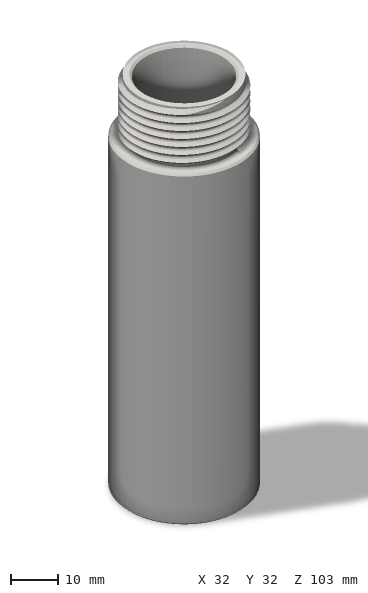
import cadquery as cq
import math

total_height = 103.0
body_diameter = 32.0
neck_diameter = 26.0
bore_diameter = 22.0
neck_height = 15.0
body_height = total_height - neck_height

floor_thickness = (body_diameter - bore_diameter) / 2

body_chamfer = 0.46
bore_chamfer = 0.5

thread_turns = 6.95
thread_height = 13.9
thread_pitch = thread_height / thread_turns
thread_depth = 1.0
thread_base_width = 1.8
root_overlap = 0.2

runout_angle = 55.0


def make_body():
    body = cq.Workplane("XY").circle(body_diameter / 2).extrude(body_height)
    return body.edges().chamfer(body_chamfer)


def make_neck():
    return (
        cq.Workplane("XY")
        .workplane(offset=floor_thickness)
        .circle(neck_diameter / 2)
        .extrude(total_height - floor_thickness)
    )


def make_thread():
    root_radius = neck_diameter / 2 - root_overlap
    crest_radius = neck_diameter / 2 + thread_depth
    root_half_width = thread_base_width / 2 * (thread_depth + root_overlap) / thread_depth
    path = cq.Wire.makeHelix(thread_pitch, thread_height, root_radius)
    ridge = (
        cq.Workplane("XZ")
        .polyline([(root_radius, -root_half_width), (crest_radius, 0), (root_radius, root_half_width)])
        .close()
        .sweep(cq.Workplane(path), isFrenet=True)
    )
    return ridge.translate((0, 0, body_height)).cut(make_runout_cutter())


def make_runout_cutter():
    crest_radius = neck_diameter / 2 + thread_depth
    shift_angle = math.radians(90 - runout_angle)
    shift = (thread_depth + root_overlap) / math.cos(shift_angle)
    cutter_bottom = body_height + thread_height - thread_base_width / 2
    cutter_height = total_height - cutter_bottom
    block = (
        cq.Workplane("XY")
        .workplane(offset=cutter_bottom)
        .rect(body_diameter, -body_diameter, centered=False)
        .extrude(cutter_height)
    )
    kept_core = (
        cq.Workplane("XY")
        .workplane(offset=cutter_bottom)
        .center(-shift * math.cos(shift_angle), -shift * math.sin(shift_angle))
        .circle(crest_radius)
        .extrude(cutter_height)
    )
    return block.cut(kept_core)


def make_bore():
    bore = (
        cq.Workplane("XY")
        .workplane(offset=floor_thickness)
        .circle(bore_diameter / 2)
        .extrude(total_height - floor_thickness)
    )
    rim = bore.faces(">Z").workplane().circle(bore_diameter / 2 + bore_chamfer)
    countersink = rim.extrude(-bore_chamfer, combine=False, taper=45)
    return bore.union(countersink)


result = make_body().union(make_neck()).union(make_thread()).cut(make_bore())